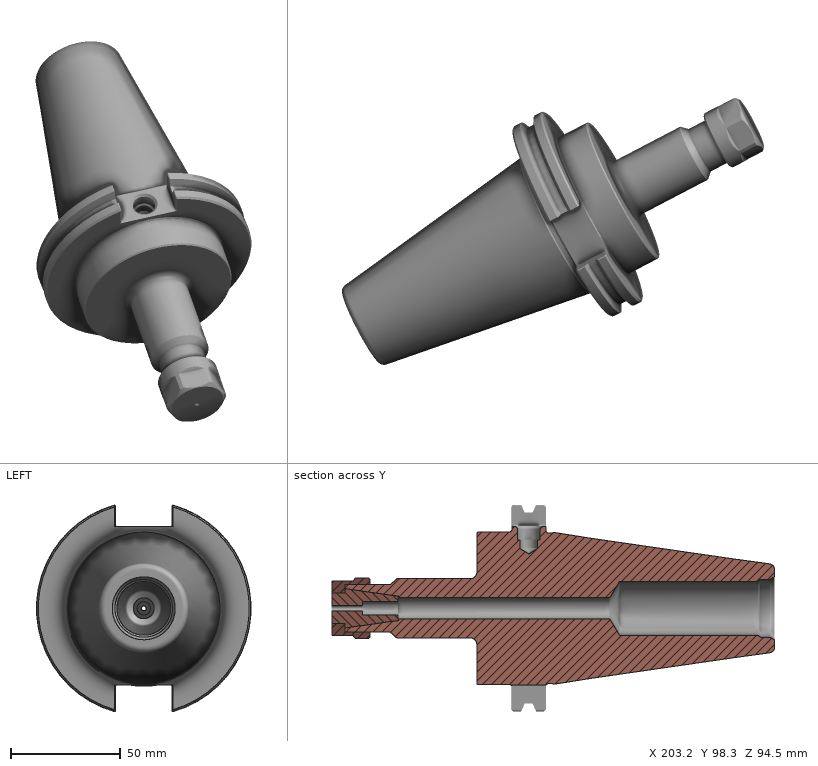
import cadquery as cq
import math

gauge_x = 101.4
gauge_diameter = 70.0
taper_ratio = 7 / 24
taper_end_fillet = 2.8

neck_diameter = 69.3
neck_lead = 0.6
neck_fillet = 0.91

flange_x = 104.9
flange_end_x = 120.7
flange_diameter = 98.3
flange_chamfer = 0.8

groove_x = 112.8
groove_diameter = 91.5
groove_floor_width = 3.7
groove_mouth_width = 7.0

collar_diameter = 70.3
collar_end_x = 136.8
collar_chamfer = 0.6
collar_root_fillet = 0.6

shaft_diameter = 27.5
shaft_end_x = 176.4
shaft_fillet = 2.8
shaft_chamfer = 3.0

nose_diameter = 22.0
nose_end_x = 197.1

slot_width = 26.0
top_slot_floor = 37.5
bottom_slot_floor = 35.2
slot_corner_fillet = 0.6
slot_edge_chamfer = 0.5

slot_hole_mouth_diameter = 12.4
slot_hole_diameter = 10.2
slot_hole_depth = 6.0
slot_hole_drill_diameter = 8.0
slot_hole_drill_depth = 10.2
drill_point_angle = 118.0

bore_mouth_diameter = 28.9
bore_mouth_length = 2.2
pilot_diameter = 26.5
pilot_end_x = 6.7
bore_diameter = 24.5
bore_end_x = 71.1
passage_diameter = 9.5

collet_x = 172.7
collet_large_diameter = 17.9
collet_small_diameter = 11.0
collet_front_diameter = 14.2
collet_bore_diameter = 2.2
collet_relief_diameter = 6.0
collet_relief_end_x = 189.0

nut_x = 185.5
nut_end_x = 203.2
nut_diameter = 28.0
nut_rear_chamfer = 0.8
nut_face_diameter = 24.5
nut_front_chamfer_length = 1.5
hex_across_flats = 25.2
flat_x = 193.5
flat_runout = 1.2
long_flat_x = 192.6
long_flat_runout = 2.2
long_flat_angle = 30.0


def drill_point_length(diameter):
    """Length of the conical end that a drill of this diameter leaves."""
    return diameter / 2 / math.tan(math.radians(drill_point_angle / 2))


def revolve_about_x(profile):
    """Turn a closed profile, drawn as (x, radius), about the X axis."""
    return profile.close().revolve(360, (0, 0, 0), (1, 0, 0))


def turned(points):
    return revolve_about_x(cq.Workplane("XY").polyline(points))


def cylinder_x(diameter, start_x, end_x):
    return cq.Workplane("YZ", origin=(start_x, 0, 0)).circle(diameter / 2).extrude(end_x - start_x)


def taper_shank():
    small_radius = (gauge_diameter - gauge_x * taper_ratio) / 2
    cone = turned([(0, 0), (0, small_radius), (gauge_x, gauge_diameter / 2), (gauge_x, 0)])
    return cone.faces("<X").edges().fillet(taper_end_fillet)


def neck():
    """Relieved ring between the taper and the flange, filleted into the flange face."""
    radius = neck_diameter / 2
    arc_mid = neck_fillet * (1 - math.sqrt(0.5))
    profile = (
        cq.Workplane("XY")
        .moveTo(gauge_x, 0)
        .lineTo(gauge_x, gauge_diameter / 2)
        .lineTo(gauge_x + neck_lead, radius)
        .lineTo(flange_x - neck_fillet, radius)
        .threePointArc((flange_x - arc_mid, radius + arc_mid), (flange_x, radius + neck_fillet))
        .lineTo(flange_x, 0)
    )
    return revolve_about_x(profile)


def drive_slot(floor, side):
    """Slot cutter above (side = 1) or below (side = -1) the axis."""
    length = flange_end_x - flange_x
    height = flange_diameter / 2 - floor
    cutter = cq.Workplane("XY").box(length, slot_width, height, centered=(False, True, False))
    cutter = cutter.translate((flange_x, 0, floor))
    return cutter if side > 0 else cutter.mirror("XY")


def grip_groove():
    """V groove with a flat floor around the flange."""
    floor_half = groove_floor_width / 2
    mouth_half = groove_mouth_width / 2
    return turned([
        (groove_x - mouth_half, flange_diameter / 2),
        (groove_x - floor_half, groove_diameter / 2),
        (groove_x + floor_half, groove_diameter / 2),
        (groove_x + mouth_half, flange_diameter / 2),
    ])


def flange():
    """Flange with two drive slots, their wall edges broken, and the grip groove."""
    rim = cylinder_x(flange_diameter, flange_x, flange_end_x)
    rim = rim.cut(drive_slot(top_slot_floor, 1)).cut(drive_slot(bottom_slot_floor, -1))
    rim = rim.edges(cq.selectors.RadiusNthSelector(-1)).chamfer(flange_chamfer)
    wall_edges = rim.faces("|Y").edges("(not |X) or >Z or <Z")
    rim = wall_edges.chamfer(slot_edge_chamfer)
    floor_corners = rim.faces("|Y").edges("|X").edges("not (>Z or <Z)")
    rim = floor_corners.fillet(slot_corner_fillet)
    return rim.cut(grip_groove())


def root_fillet(x, radius, size):
    """Ring that rounds the inside corner where a cylinder leaves the face at x."""
    arc_mid = size * (1 - math.sqrt(0.5))
    profile = (
        cq.Workplane("XY")
        .moveTo(x, 0)
        .lineTo(x, radius + size)
        .threePointArc((x + arc_mid, radius + arc_mid), (x + size, radius))
        .lineTo(x + size, 0)
    )
    return revolve_about_x(profile)


def collar():
    body = cylinder_x(collar_diameter, flange_end_x, collar_end_x)
    body = body.faces(">X").edges().chamfer(collar_chamfer)
    return body.union(root_fillet(flange_end_x, collar_diameter / 2, collar_root_fillet))


def shaft():
    """Shaft with a fillet at the collar and a chamfer down to the nose."""
    radius = shaft_diameter / 2
    body = turned([
        (collar_end_x, 0),
        (collar_end_x, radius),
        (shaft_end_x - shaft_chamfer, radius),
        (shaft_end_x, nose_diameter / 2),
        (nose_end_x, nose_diameter / 2),
        (nose_end_x, 0),
    ])
    return body.union(root_fillet(collar_end_x, radius, shaft_fillet))


def slot_hole():
    """Countersunk hole with a smaller drilled end, pointing down from the floor of the top slot."""
    mouth_radius = slot_hole_mouth_diameter / 2
    radius = slot_hole_diameter / 2
    drill_radius = slot_hole_drill_diameter / 2
    profile = [
        (0, 0),
        (mouth_radius, 0),
        (radius, radius - mouth_radius),
        (radius, -slot_hole_depth),
        (drill_radius, -slot_hole_depth),
        (drill_radius, -slot_hole_drill_depth),
        (0, -slot_hole_drill_depth - drill_point_length(slot_hole_drill_diameter)),
    ]
    hole = cq.Workplane("XZ").polyline(profile).close().revolve(360, (0, 0, 0), (0, 1, 0))
    return hole.translate((groove_x, 0, top_slot_floor))


def rear_bore():
    step = (pilot_diameter - bore_diameter) / 2
    point_length = drill_point_length(bore_diameter)
    return turned([
        (0, 0),
        (0, bore_mouth_diameter / 2),
        (bore_mouth_length, pilot_diameter / 2),
        (pilot_end_x, pilot_diameter / 2),
        (pilot_end_x + step, bore_diameter / 2),
        (bore_end_x, bore_diameter / 2),
        (bore_end_x + point_length, 0),
    ])


def make_holder():
    body = taper_shank().union(neck()).union(flange()).union(collar()).union(shaft())
    body = body.cut(slot_hole()).cut(rear_bore())
    return body.cut(cylinder_x(passage_diameter, bore_end_x, collet_x)).cut(collet_blank())


def collet_blank():
    """Outside of the collet: a cone in the nose and a plain front end in the nut."""
    return turned([
        (collet_x, 0),
        (collet_x, collet_small_diameter / 2),
        (nose_end_x, collet_large_diameter / 2),
        (nose_end_x, collet_front_diameter / 2),
        (nut_end_x, collet_front_diameter / 2),
        (nut_end_x, 0),
    ])


def make_collet():
    relief = cylinder_x(collet_relief_diameter, collet_x, collet_relief_end_x)
    bore = cylinder_x(collet_bore_diameter, collet_x, nut_end_x)
    return collet_blank().cut(relief).cut(bore)


def nut_blank():
    radius = nut_diameter / 2
    return turned([
        (nut_x, 0),
        (nut_x, radius - nut_rear_chamfer),
        (nut_x + nut_rear_chamfer, radius),
        (nut_end_x - nut_front_chamfer_length, radius),
        (nut_end_x, nut_face_diameter / 2),
        (nut_end_x, 0),
    ])


def flat_cutter(start_x, runout, angle):
    """Cutter for one wrench flat, with a sloping runout; angle is turned about X from +Y."""
    depth = (nut_diameter - hex_across_flats) / 2
    profile = [
        (start_x, hex_across_flats / 2),
        (nut_end_x, hex_across_flats / 2),
        (nut_end_x, hex_across_flats / 2 + depth),
        (start_x - runout, hex_across_flats / 2 + depth),
    ]
    cutter = cq.Workplane("XY").polyline(profile).close().extrude(nut_diameter / 2, both=True)
    return cutter.rotate((0, 0, 0), (1, 0, 0), angle)


def make_nut():
    """Hexagon nut, one flat of which runs further back than the others."""
    body = nut_blank()
    for index in range(6):
        angle = 30.0 + 60.0 * index
        if angle == long_flat_angle:
            cutter = flat_cutter(long_flat_x, long_flat_runout, angle)
        else:
            cutter = flat_cutter(flat_x, flat_runout, angle)
        body = body.cut(cutter)
    body = body.cut(cylinder_x(nose_diameter, nut_x, nose_end_x))
    return body.cut(cylinder_x(collet_front_diameter, nose_end_x, nut_end_x))


holder = make_holder()
collet = make_collet()
nut = make_nut()

result = cq.Compound.makeCompound([holder.val(), collet.val(), nut.val()])